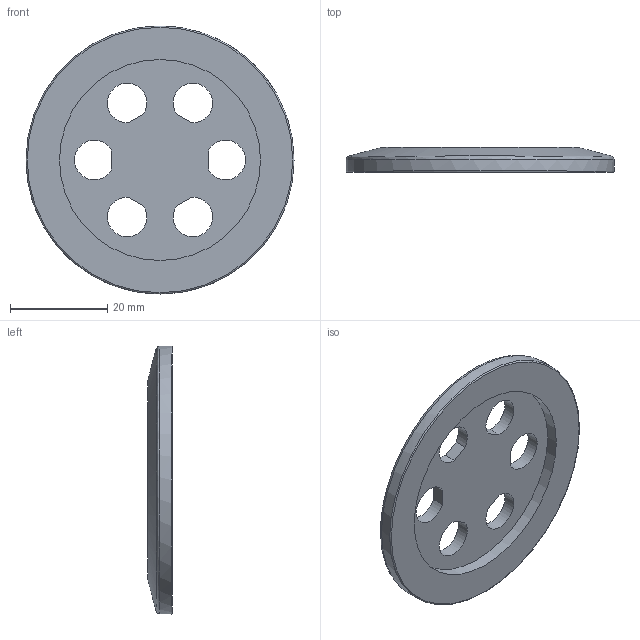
import cadquery as cq
import math

OUTER_DIAMETER = 55.0
THICKNESS = 5.1
BACK_FACE_DIAMETER = 40.6
CONE_ANGLE = 15.0
FRONT_EDGE_FILLET = 0.25
REAR_EDGE_FILLET = 0.75

RECESS_DIAMETER = 41.25
RECESS_DEPTH = 2.5

HOLE_COUNT = 6
HOLE_DIAMETER = 8.1
HOLE_CIRCLE_RADIUS = 13.5
FLAT_DISTANCE = 9.87

OUTER_RADIUS = OUTER_DIAMETER / 2
BACK_FACE_RADIUS = BACK_FACE_DIAMETER / 2
CONE_HEIGHT = (OUTER_RADIUS - BACK_FACE_RADIUS) * math.tan(math.radians(CONE_ANGLE))
RIM_HEIGHT = THICKNESS - CONE_HEIGHT


def make_disc():
    """Revolve the half section, then round the two edges of the rim."""
    disc = (
        cq.Workplane("XY")
        .moveTo(0, 0)
        .lineTo(OUTER_RADIUS, 0)
        .lineTo(OUTER_RADIUS, RIM_HEIGHT)
        .lineTo(BACK_FACE_RADIUS, THICKNESS)
        .lineTo(0, THICKNESS)
        .close()
        .revolve(360, (0, 0, 0), (0, 1, 0))
    )
    disc = disc.faces("<Y").edges().fillet(FRONT_EDGE_FILLET)
    rear_edge = cq.selectors.NearestToPointSelector((0, RIM_HEIGHT, 0))
    return disc.edges(rear_edge).fillet(REAR_EDGE_FILLET)


def make_recess():
    """Cylinder that sinks the middle of the front face."""
    return cq.Workplane("XZ").circle(RECESS_DIAMETER / 2).extrude(-RECESS_DEPTH)


def make_hole(angle):
    """Cutter for one flatted hole at the given angle about the disc axis."""
    hole = (
        cq.Workplane("XZ")
        .center(HOLE_CIRCLE_RADIUS, 0)
        .circle(HOLE_DIAMETER / 2)
        .extrude(-THICKNESS)
    )
    kept_core = (
        cq.Workplane("XZ")
        .center(FLAT_DISTANCE / 2, 0)
        .rect(FLAT_DISTANCE, HOLE_DIAMETER)
        .extrude(-THICKNESS)
    )
    return hole.cut(kept_core).rotate((0, 0, 0), (0, 1, 0), angle)


result = make_disc().cut(make_recess())
for index in range(HOLE_COUNT):
    result = result.cut(make_hole(index * 360 / HOLE_COUNT))